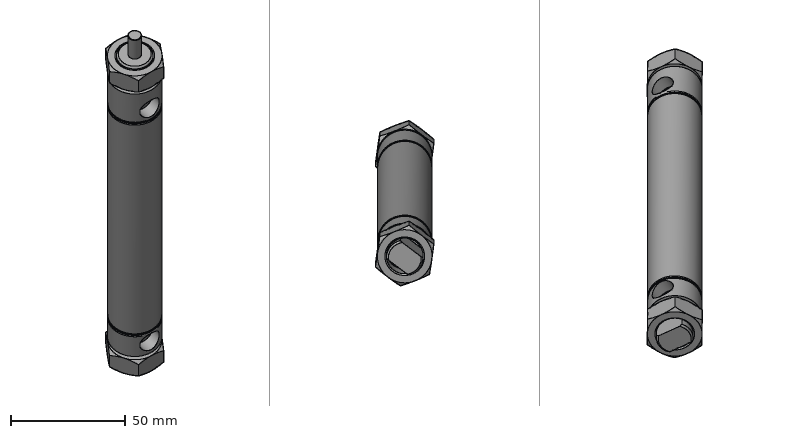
import cadquery as cq
import math

TOTAL_HEIGHT = 211.8
BARREL_BOTTOM = 15.9
BARREL_TOP = 186.5
NOSE_TOP = 199.5
UPPER_NUT_BOTTOM = 188.5
LOWER_NUT_BOTTOM = 3.8

BARREL_DIAMETER = 24.0
THREAD_DIAMETER = 16.0
THREAD_CHAMFER = 0.8
TAIL_FLAT_WIDTH = 10.0

GROOVE_WIDTH = 2.0
GROOVE_FLOOR_WIDTH = 0.6
GROOVE_DEPTH = 0.2
UPPER_GROOVE_OFFSET = 19.3
LOWER_GROOVE_OFFSET = 13.8

PORT_DIAMETER = 10.5
PORT_DEPTH = 6.0
UPPER_PORT_OFFSET = 11.9
LOWER_PORT_OFFSET = 7.2

ROD_DIAMETER = 6.0
ROD_CHAMFER = 0.2

NUT_WIDTH = 24.0
NUT_HEIGHT = 10.0
NUT_COUNTERSINK = 0.6
NUT_CHAMFER_ANGLE = 35.0
HALF_FLAT_ANGLE = 30.0

barrel_radius = BARREL_DIAMETER / 2
thread_radius = THREAD_DIAMETER / 2


def cylinder(diameter, bottom, top):
    return cq.Workplane("XY").workplane(offset=bottom).circle(diameter / 2).extrude(top - bottom)


def revolved(points):
    """Solid of revolution about Z from (radius, z) points."""
    return cq.Workplane("XZ").polyline(points).close().revolve(360, (0, 0, 0), (0, 1, 0))


def make_nose():
    """Threaded nose above the barrel that carries the upper nut."""
    return cylinder(THREAD_DIAMETER, BARREL_TOP, NOSE_TOP).faces(">Z").chamfer(THREAD_CHAMFER)


def make_tail():
    """Threaded stud below the barrel, with two flats facing +X and -X."""
    stud = cylinder(THREAD_DIAMETER, 0, BARREL_BOTTOM).faces("<Z").chamfer(THREAD_CHAMFER)
    slab = cq.Workplane("XY").rect(TAIL_FLAT_WIDTH, THREAD_DIAMETER).extrude(BARREL_BOTTOM)
    return stud.intersect(slab)


def make_groove(center_z):
    """Ring with sloping sides and a flat floor, to cut around the barrel."""
    floor_radius = barrel_radius - GROOVE_DEPTH
    return revolved([
        (barrel_radius, center_z - GROOVE_WIDTH / 2),
        (floor_radius, center_z - GROOVE_FLOOR_WIDTH / 2),
        (floor_radius, center_z + GROOVE_FLOOR_WIDTH / 2),
        (barrel_radius, center_z + GROOVE_WIDTH / 2),
    ])


def make_port(center_z):
    """Radial hole to cut into the +X side of the barrel."""
    return (
        cq.Workplane("YZ")
        .workplane(offset=barrel_radius - PORT_DEPTH)
        .center(0, center_z)
        .circle(PORT_DIAMETER / 2)
        .extrude(PORT_DEPTH)
    )


def make_housing():
    """Barrel, nose and tail in one piece, with grooves, air ports and rod bore."""
    housing = cylinder(BARREL_DIAMETER, BARREL_BOTTOM, BARREL_TOP).union(make_nose()).union(make_tail())
    for groove_z in (BARREL_BOTTOM + LOWER_GROOVE_OFFSET, BARREL_TOP - UPPER_GROOVE_OFFSET):
        housing = housing.cut(make_groove(groove_z))
    for port_z in (BARREL_BOTTOM + LOWER_PORT_OFFSET, BARREL_TOP - UPPER_PORT_OFFSET):
        housing = housing.cut(make_port(port_z))
    rod_bore = cylinder(ROD_DIAMETER, BARREL_TOP, NOSE_TOP)
    return housing.cut(rod_bore)


def make_rod():
    """Piston rod seated in the bore of the nose."""
    return cylinder(ROD_DIAMETER, BARREL_TOP, TOTAL_HEIGHT).faces(">Z").chamfer(ROD_CHAMFER)


def make_nut(bottom_z):
    """Hexagonal nut with chamfered corners and a countersunk hole at both ends."""
    corner_radius = NUT_WIDTH / 2 / math.cos(math.radians(HALF_FLAT_ANGLE))
    face_radius = NUT_WIDTH / 2
    chamfer_drop = (corner_radius - face_radius) * math.tan(math.radians(NUT_CHAMFER_ANGLE))
    chamfer_envelope = revolved([
        (0, 0),
        (face_radius, 0),
        (corner_radius, chamfer_drop),
        (corner_radius, NUT_HEIGHT - chamfer_drop),
        (face_radius, NUT_HEIGHT),
        (0, NUT_HEIGHT),
    ])
    blank = (
        cq.Workplane("XY")
        .polygon(6, 2 * corner_radius)
        .extrude(NUT_HEIGHT)
        .rotate((0, 0, 0), (0, 0, 1), HALF_FLAT_ANGLE)
        .intersect(chamfer_envelope)
    )
    thread_hole = revolved([
        (0, 0),
        (thread_radius + NUT_COUNTERSINK, 0),
        (thread_radius, NUT_COUNTERSINK),
        (thread_radius, NUT_HEIGHT - NUT_COUNTERSINK),
        (thread_radius + NUT_COUNTERSINK, NUT_HEIGHT),
        (0, NUT_HEIGHT),
    ])
    return blank.cut(thread_hole).translate((0, 0, bottom_z))


housing = make_housing()
rod = make_rod()
nuts = [make_nut(bottom_z) for bottom_z in (LOWER_NUT_BOTTOM, UPPER_NUT_BOTTOM)]

result = cq.Compound.makeCompound([housing.val(), rod.val(), *[nut.val() for nut in nuts]])